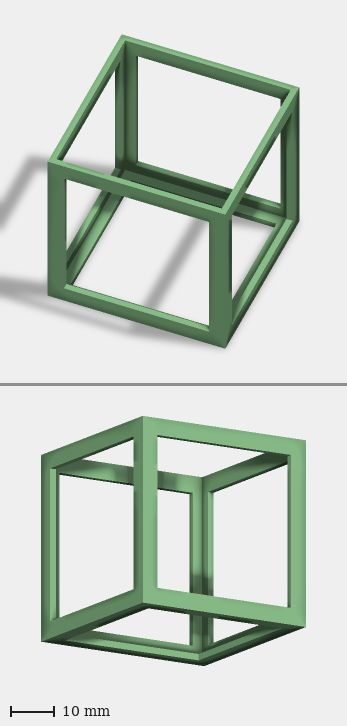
import cadquery as cq

side = 44.0
wall = 1.5
border = 4.0
window = side - 2 * border
cavity = side - 2 * wall


def make_shell():
    """Cube centred on the origin, hollowed from the top down to the floor."""
    cube = cq.Workplane("XY").box(side, side, side)
    hollow = cq.Workplane("XY").box(cavity, cavity, side).translate((0, 0, wall))
    return cube.cut(hollow)


def cut_windows(body):
    """Cut square windows through both pairs of walls and the floor."""
    for size in (
        (2 * side, window, window),
        (window, 2 * side, window),
        (window, window, 2 * side),
    ):
        body = body.cut(cq.Workplane("XY").box(*size))
    return body


result = cut_windows(make_shell())